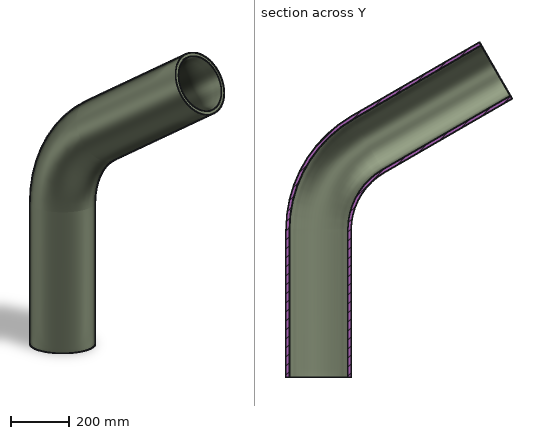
import cadquery as cq
import math

overall_height = 1147.0
outer_diameter = 225.0
inner_diameter = 198.0
bend_angle = 60.0
bend_radius = 1.5 * outer_diameter

angle = math.radians(bend_angle)
bend_outer_radius = bend_radius + outer_diameter / 2
leg_length = (overall_height - bend_outer_radius * math.sin(angle)) / (1 + math.cos(angle))


def point_on_bend(turn):
    """Point (x, z) on the pipe axis after turning by the given angle in the bend."""
    x = bend_radius * (1 - math.cos(turn))
    z = leg_length + bend_radius * math.sin(turn)
    return x, z


bend_end_x, bend_end_z = point_on_bend(angle)
axis_end = (
    bend_end_x + leg_length * math.sin(angle),
    bend_end_z + leg_length * math.cos(angle),
)
pipe_axis = (
    cq.Workplane("XZ")
    .lineTo(0, leg_length)
    .threePointArc(point_on_bend(angle / 2), (bend_end_x, bend_end_z))
    .lineTo(*axis_end)
)

result = (
    cq.Workplane("XY")
    .circle(outer_diameter / 2)
    .circle(inner_diameter / 2)
    .sweep(pipe_axis)
)